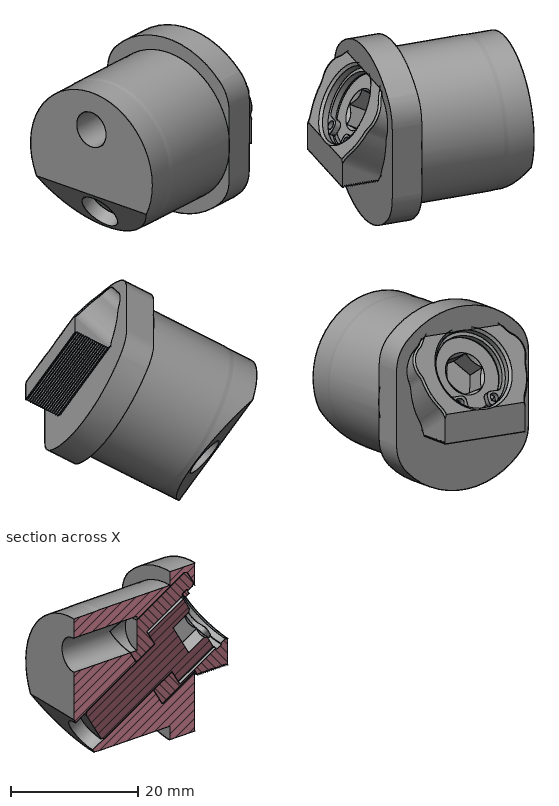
import cadquery as cq
import math


TILT = math.radians(30)
FACE_CENTER_Y = 27.15
FACE_CENTER_Z = 5.45

BODY_RADIUS = 12.5
NOSE_RADIUS = 12.45
NOSE_LENGTH = 4.3
NOSE_TAPER_END = 5.0
FLANGE_FRONT = 19.0
FLANGE_BACK = 24.0
FLANGE_RADIUS = 14.9
FLANGE_HALF_WIDTH = 12.4
FLANGE_CORNER_RADIUS = 6.37
BEVEL_START_Z = -5.4
PIN_HOLE_RADIUS = 3.0
PIN_HOLE_Z = 5.98
PIN_HOLE_DEPTH = 12.5

JAW_RADIUS = 9.8
JAW_LENGTH = 15.0
JAW_FACE_CHAMFER = 0.3
JAW_END_Y = 30.5
LOBE_RADIUS = 3.5
LOBE_CENTER_X = 6.95
LOBE_CENTER_V = 1.8
LOBE_FILLET = 3.0
LIP_HALF_WIDTH = 7.53
LIP_FILLET = 3.42
LIP_TANGENT_LENGTH = 0.27
LIP_THICKNESS = 7.55
LIP_BOTTOM_Z = -5.15
TOOTH_ROW_LENGTH = 6.1
TOOTH_COUNT = 16
TOOTH_DEPTH = 0.25

BORE_RADIUS = 6.5
BORE_CHAMFER = 0.43
GROOVE_RADIUS = 6.8
GROOVE_DEPTH = 1.5
GROOVE_WIDTH = 1.1
RING_INNER_RADIUS = 5.92
RING_THICKNESS = 1.0
RING_HALF_GAP = 1.98
LUG_OUTER_X = 4.73
LUG_INNER_V = -3.75
LUG_CORNER_RADIUS = 0.8
LUG_HOLE_RADIUS = 0.7
LUG_HOLE_X = 3.2
LUG_HOLE_V = -4.8

HEAD_TOP_DEPTH = 2.8
HEAD_LENGTH = 8.0
HEAD_RADIUS = 6.0
SHANK_RADIUS = 3.35
SHANK_LENGTH = 15.98
TIP_CHAMFER = 0.37
SOCKET_WIDTH = 6.0
SOCKET_DEPTH = 4.0
SOCKET_TURN = 20.0
SOCKET_CHAMFER_RADIUS = 3.5

TOOTH_PITCH = TOOTH_ROW_LENGTH / TOOTH_COUNT
HEAD_BOTTOM_DEPTH = HEAD_TOP_DEPTH + HEAD_LENGTH
SCREW_TIP_DEPTH = HEAD_BOTTOM_DEPTH + SHANK_LENGTH
LIP_TOP_V = (FACE_CENTER_Y - FLANGE_BACK - LIP_THICKNESS * math.cos(TILT)) / math.sin(TILT)
LIP_END_V = -2 * JAW_RADIUS
OVERSIZE = 61.0


def tilted(depth=0.0):
    """Workplane square to the tilted axis: local Y climbs the face, local Z goes into the part."""
    inward = (0, -math.cos(TILT), -math.sin(TILT))
    face = cq.Plane(origin=(0, FACE_CENTER_Y, FACE_CENTER_Z), xDir=(1, 0, 0), normal=inward)
    return cq.Workplane(face).workplane(offset=depth)


def facing_back(y=0.0):
    """Workplane at the given Y with local axes -X and Z, extruding towards +Y."""
    return cq.Workplane(cq.Plane(origin=(0, y, 0), xDir=(-1, 0, 0), normal=(0, 1, 0)))


def tilted_disc(radius, start, end):
    """Cylinder around the tilted axis between two depths."""
    return tilted(start).circle(radius).extrude(end - start)


def tilted_cone(radius, start):
    """45 degree cone that narrows to a point from the given radius at the given depth."""
    cone = cq.Solid.makeCone(radius, 0, radius, dir=cq.Vector(0, 0, 1))
    return cq.Workplane(cone.moved(cq.Location(tilted(start).plane)))


def polar(radius, angle, center=(0, 0)):
    """Point at a distance and direction from a centre."""
    return (center[0] + radius * math.cos(angle), center[1] + radius * math.sin(angle))


def mirrored(point):
    """Same point on the other side of the middle plane."""
    return (-point[0], point[1])


def arc_middle(center, radius, start, end):
    """Middle point of the shorter arc between two points of a circle."""
    chord_x = (start[0] + end[0]) / 2 - center[0]
    chord_v = (start[1] + end[1]) / 2 - center[1]
    return polar(radius, math.atan2(chord_v, chord_x), center)


def jaw_profile():
    """Round jaw section with a rounded lobe on each side and a straight-sided lip below."""
    lobe = (LOBE_CENTER_X, LOBE_CENTER_V)
    lobe_distance = math.hypot(*lobe)
    lobe_angle = math.atan2(LOBE_CENTER_V, LOBE_CENTER_X)

    to_fillet = JAW_RADIUS + LOBE_FILLET
    lobe_to_fillet = LOBE_RADIUS + LOBE_FILLET
    cosine = (to_fillet**2 + lobe_distance**2 - lobe_to_fillet**2) / (2 * to_fillet * lobe_distance)
    spread = math.acos(cosine)
    upper_angle = lobe_angle + spread
    lower_angle = lobe_angle - spread
    upper_center = polar(to_fillet, upper_angle)
    lower_center = polar(to_fillet, lower_angle)

    def lobe_touch(fillet_center):
        """Point where a fillet meets the lobe circle."""
        direction = math.atan2(fillet_center[1] - lobe[1], fillet_center[0] - lobe[0])
        return polar(LOBE_RADIUS, direction, lobe)

    to_lip_fillet = JAW_RADIUS + LIP_FILLET
    reach = math.hypot(to_lip_fillet, LIP_TANGENT_LENGTH)
    lead = math.atan2(LIP_TANGENT_LENGTH, to_lip_fillet)
    lip_angle = lead - math.acos((LIP_HALF_WIDTH + LIP_FILLET) / reach)
    tangent_start = polar(JAW_RADIUS, lip_angle)
    tangent_end = polar(LIP_TANGENT_LENGTH, lip_angle - math.pi / 2, tangent_start)
    lip_center = polar(LIP_FILLET, lip_angle, tangent_end)
    lip_start = (LIP_HALF_WIDTH, lip_center[1])

    upper_start = polar(JAW_RADIUS, upper_angle)
    upper_end = lobe_touch(upper_center)
    lower_start = lobe_touch(lower_center)
    lower_end = polar(JAW_RADIUS, lower_angle)

    half = (
        tilted()
        .moveTo(0, JAW_RADIUS)
        .threePointArc(polar(JAW_RADIUS, (upper_angle + math.pi / 2) / 2), upper_start)
        .threePointArc(arc_middle(upper_center, LOBE_FILLET, upper_start, upper_end), upper_end)
        .threePointArc(arc_middle(lobe, LOBE_RADIUS, upper_end, lower_start), lower_start)
        .threePointArc(arc_middle(lower_center, LOBE_FILLET, lower_start, lower_end), lower_end)
        .threePointArc(polar(JAW_RADIUS, (lower_angle + lip_angle) / 2), tangent_start)
        .lineTo(*tangent_end)
        .threePointArc(arc_middle(lip_center, LIP_FILLET, tangent_end, lip_start), lip_start)
        .lineTo(LIP_HALF_WIDTH, LIP_END_V)
        .lineTo(0, LIP_END_V)
    )
    return half.mirrorY()


def jaw_blank():
    """Jaw without its holes and teeth; it also shapes the pocket in the housing."""
    blank = jaw_profile().extrude(JAW_LENGTH)
    outer_face = cq.selectors.DirectionMinMaxSelector(tilted().plane.zDir, False)
    blank = blank.faces(outer_face).chamfer(JAW_FACE_CHAMFER)
    below_guide = (
        tilted(LIP_THICKNESS)
        .center(0, LIP_TOP_V - OVERSIZE / 2)
        .rect(OVERSIZE, OVERSIZE)
        .extrude(OVERSIZE)
    )
    behind_end = facing_back(JAW_END_Y).rect(OVERSIZE, OVERSIZE).extrude(OVERSIZE)
    below_lip = (
        facing_back(FLANGE_BACK)
        .center(0, LIP_BOTTOM_Z - OVERSIZE / 2)
        .rect(OVERSIZE, OVERSIZE)
        .extrude(OVERSIZE)
    )
    return blank.cut(below_guide).cut(behind_end).cut(below_lip)


def pin_hole():
    """Horizontal blind hole from the front, through the housing wall and into the jaw."""
    return facing_back().center(0, PIN_HOLE_Z).circle(PIN_HOLE_RADIUS).extrude(PIN_HOLE_DEPTH)


def make_housing(blank):
    """Stepped cylinder with a round-cornered flange, a bevelled nose and the tilted jaw pocket."""
    body = (
        cq.Workplane("XY")
        .polyline(
            [
                (0, 0),
                (NOSE_RADIUS, 0),
                (NOSE_RADIUS, NOSE_LENGTH),
                (BODY_RADIUS, NOSE_TAPER_END),
                (BODY_RADIUS, FLANGE_FRONT),
                (0, FLANGE_FRONT),
            ]
        )
        .close()
        .revolve(360, (0, 0, 0), (0, 1, 0))
    )

    corner_x = FLANGE_HALF_WIDTH - FLANGE_CORNER_RADIUS
    corner_z = math.sqrt((FLANGE_RADIUS - FLANGE_CORNER_RADIUS) ** 2 - corner_x**2)
    corner = (corner_x, corner_z)
    side_top = (FLANGE_HALF_WIDTH, corner_z)
    arc_end = polar(FLANGE_RADIUS, math.atan2(corner_z, corner_x))
    corner_middle = arc_middle(corner, FLANGE_CORNER_RADIUS, side_top, arc_end)
    flange = (
        facing_back(FLANGE_FRONT)
        .moveTo(FLANGE_HALF_WIDTH, 0)
        .lineTo(*side_top)
        .threePointArc(corner_middle, arc_end)
        .threePointArc((0, FLANGE_RADIUS), mirrored(arc_end))
        .threePointArc(mirrored(corner_middle), mirrored(side_top))
        .lineTo(-FLANGE_HALF_WIDTH, 0)
        .mirrorX()
        .extrude(FLANGE_BACK - FLANGE_FRONT)
    )

    bevel_depth = FACE_CENTER_Y * math.cos(TILT) + (FACE_CENTER_Z - BEVEL_START_Z) * math.sin(TILT)
    bevel = tilted(bevel_depth).rect(OVERSIZE, OVERSIZE).extrude(OVERSIZE)
    screw_hole = tilted_disc(SHANK_RADIUS, 0, OVERSIZE)
    return body.union(flange).cut(bevel).cut(blank).cut(pin_hole()).cut(screw_hole)


def make_jaw(blank):
    """Slider with a chamfered screw bore, a ring groove and a toothed lip."""
    jaw = (
        blank.cut(tilted_disc(BORE_RADIUS, 0, HEAD_BOTTOM_DEPTH))
        .cut(tilted_cone(BORE_RADIUS + BORE_CHAMFER, 0))
        .cut(tilted_disc(GROOVE_RADIUS, GROOVE_DEPTH, GROOVE_DEPTH + GROOVE_WIDTH))
        .cut(tilted_disc(SHANK_RADIUS, 0, JAW_LENGTH))
        .cut(pin_hole())
    )
    for index in range(1, TOOTH_COUNT):
        notch_y = JAW_END_Y - index * TOOTH_PITCH
        notch = (
            cq.Workplane("YZ", origin=(0, notch_y, LIP_BOTTOM_Z))
            .polyline([(-TOOTH_PITCH / 2, 0), (0, TOOTH_DEPTH), (TOOTH_PITCH / 2, 0)])
            .close()
            .extrude(OVERSIZE / 2, both=True)
        )
        jaw = jaw.cut(notch)
    return jaw


def make_screw():
    """Socket head screw with a hexagon socket and a chamfered tip."""
    head = tilted_disc(HEAD_RADIUS, HEAD_TOP_DEPTH, HEAD_BOTTOM_DEPTH)
    shank = tilted_disc(SHANK_RADIUS, HEAD_BOTTOM_DEPTH, SCREW_TIP_DEPTH)
    tip = cq.selectors.DirectionMinMaxSelector(tilted().plane.zDir, True)
    shank = shank.faces(tip).chamfer(TIP_CHAMFER)
    socket = (
        tilted(HEAD_TOP_DEPTH)
        .transformed(rotate=(0, 0, SOCKET_TURN))
        .polygon(6, SOCKET_WIDTH, circumscribed=True)
        .extrude(SOCKET_DEPTH)
    )
    socket_lead = tilted_cone(SOCKET_CHAMFER_RADIUS, HEAD_TOP_DEPTH)
    return head.union(shank).cut(socket).cut(socket_lead)


def make_ring():
    """Retaining ring, open between two rounded and drilled lugs on its lower side."""
    rim = tilted_disc(GROOVE_RADIUS, GROOVE_DEPTH, GROOVE_DEPTH + RING_THICKNESS)
    opening = tilted_disc(RING_INNER_RADIUS, 0, OVERSIZE)
    lug_height = GROOVE_RADIUS + LUG_INNER_V
    lugs = (
        tilted()
        .center(0, LUG_INNER_V - lug_height / 2)
        .rect(2 * LUG_OUTER_X, lug_height)
        .extrude(OVERSIZE)
    )
    gap = (
        tilted()
        .center(0, -GROOVE_RADIUS)
        .rect(2 * RING_HALF_GAP, 2 * GROOVE_RADIUS)
        .extrude(OVERSIZE)
    )
    ring = rim.cut(opening.cut(lugs)).cut(gap)

    corners = [
        (RING_HALF_GAP, LUG_INNER_V),
        (RING_HALF_GAP, -math.sqrt(GROOVE_RADIUS**2 - RING_HALF_GAP**2)),
        (math.sqrt(RING_INNER_RADIUS**2 - LUG_INNER_V**2), LUG_INNER_V),
    ]
    middle_plane = tilted(GROOVE_DEPTH + RING_THICKNESS / 2).plane
    for x, v in corners:
        for side in (-1, 1):
            corner = middle_plane.toWorldCoords((side * x, v, 0)).toTuple()
            ring = ring.edges(cq.selectors.NearestToPointSelector(corner)).fillet(LUG_CORNER_RADIUS)

    holes = (
        tilted()
        .pushPoints([(-LUG_HOLE_X, LUG_HOLE_V), (LUG_HOLE_X, LUG_HOLE_V)])
        .circle(LUG_HOLE_RADIUS)
        .extrude(OVERSIZE)
    )
    return ring.cut(holes)


blank = jaw_blank()
housing = make_housing(blank)
jaw = make_jaw(blank)
screw = make_screw()
ring = make_ring()

bodies = [housing, jaw, screw, ring]
result = cq.Compound.makeCompound([body.solids().val() for body in bodies])